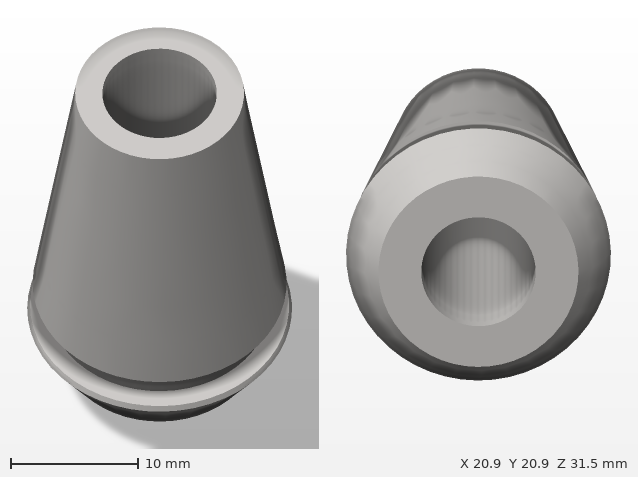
import cadquery as cq
import math

total_height = 31.5
rim_diameter = 20.85
bore_diameter = 9.0

body_base_diameter = 20.0
body_half_angle = 8.0
body_base_z = 7.62

groove_diameter = 17.4
groove_bottom_z = 4.85

nose_diameter = 15.75
nose_half_angle = 30.0
rim_top_diameter = 20.4

rim_radius = rim_diameter / 2
nose_radius = nose_diameter / 2
groove_radius = groove_diameter / 2
body_base_radius = body_base_diameter / 2
body_height = total_height - body_base_z
body_top_radius = body_base_radius - body_height * math.tan(math.radians(body_half_angle))
rim_z = (rim_radius - nose_radius) / math.tan(math.radians(nose_half_angle))

bore_radius = bore_diameter / 2
half_section = (
    cq.Workplane("XZ")
    .moveTo(bore_radius, 0)
    .lineTo(nose_radius, 0)
    .lineTo(rim_radius, rim_z)
    .lineTo(rim_top_diameter / 2, groove_bottom_z)
    .lineTo(groove_radius, groove_bottom_z)
    .lineTo(groove_radius, body_base_z)
    .lineTo(body_base_radius, body_base_z)
    .lineTo(body_top_radius, total_height)
    .lineTo(bore_radius, total_height)
    .close()
)

result = half_section.revolve(360, (0, 0, 0), (0, 1, 0))